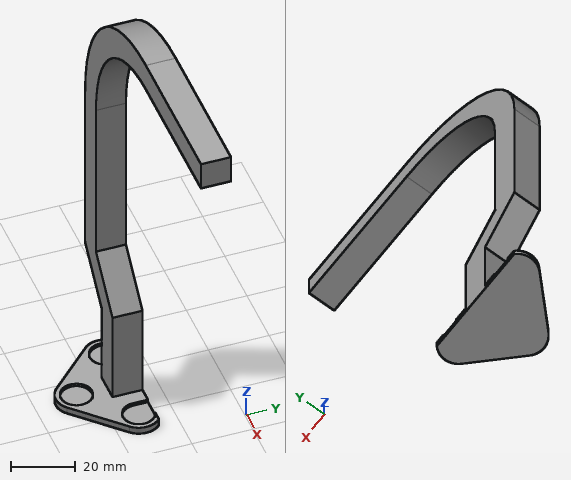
import cadquery as cq
import math

height = 162.5
length = 106.8
depth = 26.8

bar_width = 9.9
bend_outer_radius = 55.0
jog_offset = 15.0
jog_start_z = 30.7

plate_thickness = 2.5
corner_radius = 6.8
recess_diameter = 10.2
recess_depth = 1.0

bar_center_y = depth - bar_width / 2
recess_reach = bar_center_y - corner_radius
foot_center_x = recess_reach + corner_radius
recess_centers = [
    (foot_center_x, corner_radius),
    (foot_center_x + recess_reach, bar_center_y),
    (foot_center_x - recess_reach, bar_center_y),
]


def make_foot():
    triangle = (
        cq.Workplane("XY").polyline(recess_centers).close()
        .offset2D(corner_radius, "arc")
        .extrude(plate_thickness)
    )
    trim = cq.Workplane("XY").box(2 * foot_center_x, depth, plate_thickness, centered=False)
    return triangle.intersect(trim)


def make_bar():
    lower_left = foot_center_x - bar_width / 2
    lower_right = lower_left + bar_width
    upper_left = lower_left - jog_offset
    upper_right = upper_left + bar_width
    miter_shift = bar_width * math.tan(math.radians(22.5))

    bend_x = upper_left + bend_outer_radius
    bend_z = height - bend_outer_radius
    bend_inner_radius = bend_outer_radius - bar_width
    diagonal = math.sqrt(0.5)

    def bend_middle(radius):
        return (bend_x - radius * diagonal, bend_z + radius * diagonal)

    return (
        cq.Workplane("XZ", origin=(0, depth, 0))
        .moveTo(lower_left, 0)
        .lineTo(lower_left, jog_start_z)
        .lineTo(upper_left, jog_start_z + jog_offset)
        .lineTo(upper_left, bend_z)
        .threePointArc(bend_middle(bend_outer_radius), (bend_x, height))
        .lineTo(length, height)
        .lineTo(length, height - bar_width)
        .lineTo(bend_x, height - bar_width)
        .threePointArc(bend_middle(bend_inner_radius), (upper_right, bend_z))
        .lineTo(upper_right, jog_start_z + jog_offset + miter_shift)
        .lineTo(lower_right, jog_start_z + miter_shift)
        .lineTo(lower_right, 0)
        .close()
        .extrude(bar_width)
    )


def make_recesses():
    floor = cq.Workplane("XY", origin=(0, 0, plate_thickness - recess_depth))
    recesses = (
        floor.pushPoints(recess_centers)
        .circle(recess_diameter / 2)
        .extrude(recess_depth)
    )
    opening_width = recess_diameter / 2
    opening_length = depth - bar_center_y
    opening_spacing = 2 * recess_reach - opening_width
    rear_openings = (
        floor.center(foot_center_x, bar_center_y + opening_length / 2)
        .rarray(opening_spacing, 1.6, 2, 1)
        .rect(opening_width, opening_length)
        .extrude(recess_depth)
    )
    return recesses.union(rear_openings)


result = make_foot().cut(make_recesses()).union(make_bar())